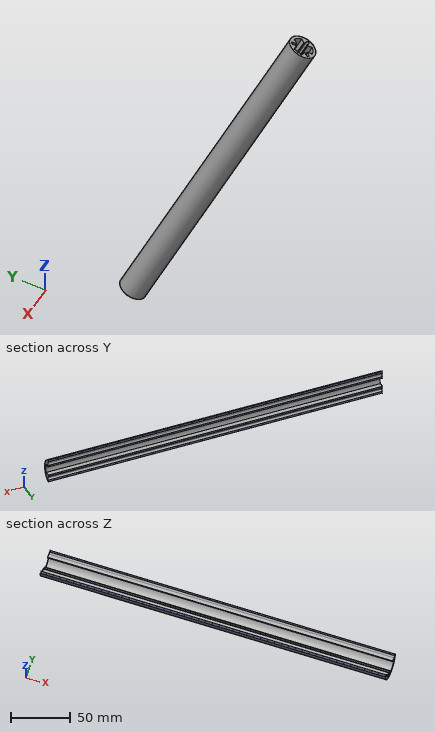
import cadquery as cq
import math

length = 310.0
outer_diameter = 25.0
bore_diameter = 19.5

outer_radius = outer_diameter / 2
bore_radius = bore_diameter / 2

rib_count = 3
rib_tip_radius = 6.0
rib_flank_offset = 4.0
rib_flank_angle = 60.0
slot_width = 2.5
slot_bottom_radius = 10.5


def extrude_tube(outline):
    return outline.extrude(length)


def tube_section():
    """Sketch plane across the tube: local x is +Y, local y is +Z."""
    return cq.Workplane("YZ")


def rib():
    """Wedge on the +Y side that widens outward from a flat tip into the tube wall."""
    flank = math.radians(rib_flank_angle)
    root_reach = (bore_radius + outer_radius) / 2

    def half_width(reach):
        return (reach * math.sin(flank) - rib_flank_offset) / math.cos(flank)

    tip = half_width(rib_tip_radius)
    root = half_width(root_reach)
    wedge = extrude_tube(
        tube_section().polyline(
            [(rib_tip_radius, -tip), (root_reach, -root), (root_reach, root), (rib_tip_radius, tip)]
        ).close()
    )
    return wedge.intersect(extrude_tube(tube_section().circle(root_reach)))


def slot():
    """Slot on the +Y side, open at the tube axis and rounded at its bottom."""
    half = slot_width / 2
    return extrude_tube(
        tube_section()
        .moveTo(0, -half)
        .lineTo(slot_bottom_radius - half, -half)
        .threePointArc((slot_bottom_radius, 0), (slot_bottom_radius - half, half))
        .lineTo(0, half)
        .close()
    )


tube = extrude_tube(tube_section().circle(outer_radius).circle(bore_radius))
rib_angles = [i * 360 / rib_count for i in range(rib_count)]
for angle in rib_angles:
    tube = tube.union(rib().rotate((0, 0, 0), (1, 0, 0), angle))
for angle in rib_angles:
    tube = tube.cut(slot().rotate((0, 0, 0), (1, 0, 0), angle))

result = tube.translate((-length / 2, 0, 0))